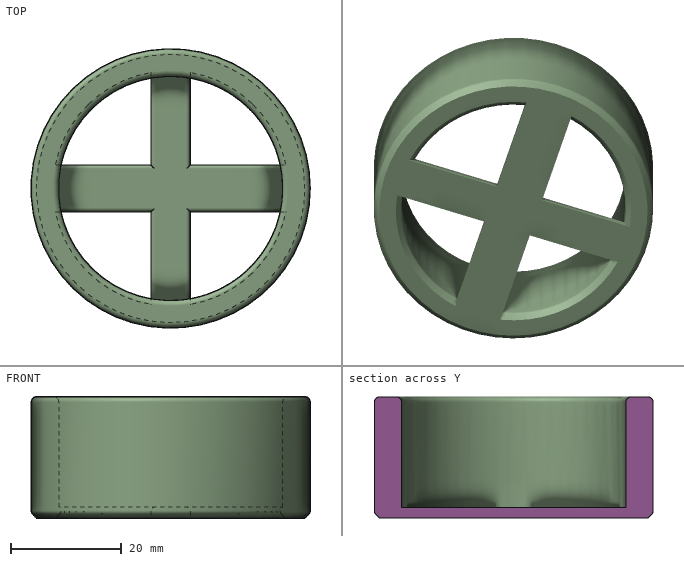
import cadquery as cq
import math

outer_radius = 25.25
bore_radius = 20.25
height = 22.0
edge_size = 1.0
blend_radius = 0.8

x_bar_width = 8.55
y_bar_width = 7.15
cross_thickness = 2.0
cross_edge_radius = 0.7
bar_length = outer_radius + bore_radius


def ring_section():
    """Half section of the ring: rounded at the top, chamfered and blended at the bottom."""
    bend = math.radians(45)
    half_bend = bend / 2
    tangent_length = blend_radius * math.tan(half_bend)
    wall_start = edge_size + tangent_length
    chamfer_end_in = tangent_length * math.sin(bend)
    chamfer_end_z = edge_size - tangent_length * math.cos(bend)
    arc_mid_in = blend_radius * (1 - math.cos(half_bend))
    arc_mid_z = wall_start - blend_radius * math.sin(half_bend)
    round_mid_in = edge_size * (1 - math.cos(bend))
    wall_end = height - edge_size

    return (
        cq.Workplane("XZ")
        .moveTo(bore_radius + edge_size, 0)
        .lineTo(outer_radius - edge_size, 0)
        .lineTo(outer_radius - chamfer_end_in, chamfer_end_z)
        .threePointArc((outer_radius - arc_mid_in, arc_mid_z), (outer_radius, wall_start))
        .lineTo(outer_radius, wall_end)
        .threePointArc(
            (outer_radius - round_mid_in, height - round_mid_in),
            (outer_radius - edge_size, height),
        )
        .lineTo(bore_radius + edge_size, height)
        .threePointArc(
            (bore_radius + round_mid_in, height - round_mid_in),
            (bore_radius, wall_end),
        )
        .lineTo(bore_radius, wall_start)
        .threePointArc(
            (bore_radius + arc_mid_in, arc_mid_z),
            (bore_radius + chamfer_end_in, chamfer_end_z),
        )
        .close()
    )


def bar(length_x, length_y):
    """Flat bar centred on the ring axis, standing on the bottom plane."""
    return cq.Workplane("XY").box(
        length_x, length_y, cross_thickness, centered=(True, True, False)
    )


def cross():
    """Two crossing bars with rounded upper edges, trimmed inside the ring wall."""
    bars = bar(bar_length, x_bar_width).union(bar(y_bar_width, bar_length))
    bars = bars.faces(">Z").edges().fillet(cross_edge_radius)
    trim = cq.Workplane("XY").circle(bar_length / 2 - edge_size).extrude(cross_thickness)
    return bars.intersect(trim)


ring = ring_section().revolve(360, (0, 0, 0), (0, 1, 0))
result = ring.union(cross())